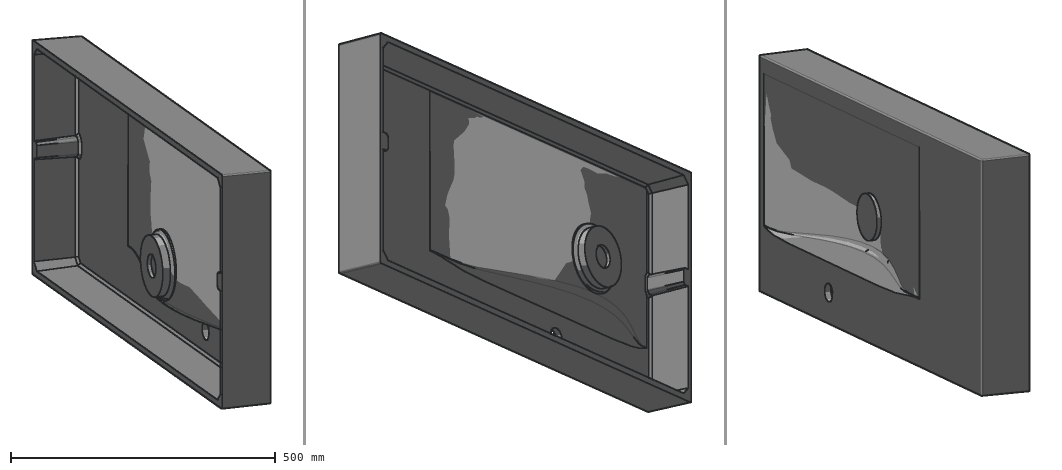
import cadquery as cq
import math

LENGTH = 1000.0
HEIGHT = 460.0
TRAY_DEPTH = 100.0
OUTER_DRAFT_ANGLE = 1.0
OUTER_EDGE_RADIUS = 3.0

DECK_THICKNESS = 13.0
SIDE_WALL = 9.5
TOP_BOTTOM_WALL = 12.0
CAVITY_CORNER_CHAMFER = 15.0
CAVITY_DRAFT_ANGLE = 2.0
CAVITY_FLOOR_CHAMFER = 5.0

RIB_HEIGHT = 34.0
RIB_REACH = 15.5
RIB_CENTRE_Z = 247.0
RIB_EDGE_CHAMFER = 5.0

DRAIN_X = 686.0
DRAIN_Z = 200.0
BOSS_RADIUS = 59.0
BOSS_FLARE_RADIUS = 68.0
BOSS_FLARE_Y = -101.0
BOSS_NECK_Y = -106.5
BOSS_END_Y = -122.0
DRAIN_HOLE_RADIUS = 22.5
DRAIN_HOLE_DEPTH = 8.0
COVER_RADIUS = 45.0
COVER_THICKNESS = 34.0

BOWL_LEFT = 279.0
BOWL_RIGHT = 976.0
BOWL_TOP = 438.0
BOWL_FOOT_Z = 108.0
BOWL_FOOT_RISE = 13.0
FOOT_RISE_POWER = 9
BOWL_DEPTH = 88.0
BOWL_WALL_LEAN = 12.0
BOWL_HEEL_RADIUS = 12.0
BOWL_SKIN = 12.0
LEFT_EASING = 0.95
RIGHT_EASING = 0.7
SHALLOWEST = 0.01
SECTIONS_PER_SIDE = 6
SLOPE_PLACE = 0.4
SLOPE_DEPTH = 0.8

OVERLAP = 3.0

TAP_HOLE_RADIUS = 17.5
TAP_HOLE_Z = 61.5


def rectangle_wire(left, right, bottom, top, y):
    corners = [(left, y, bottom), (right, y, bottom), (right, y, top), (left, y, top)]
    return cq.Wire.makePolygon([cq.Vector(*corner) for corner in corners], close=True)


def make_block():
    """Outer block: both ends and the top lean inwards to the deck, the bottom is square."""
    lean = TRAY_DEPTH * math.tan(math.radians(OUTER_DRAFT_ANGLE))
    rim = rectangle_wire(0, LENGTH, 0, HEIGHT, -TRAY_DEPTH)
    deck = rectangle_wire(lean, LENGTH - lean, 0, HEIGHT - lean, 0)
    block = cq.Workplane(cq.Solid.makeLoft([rim, deck], True))
    return block.edges("not <Y").fillet(OUTER_EDGE_RADIUS)


def make_cavity():
    """Drafted pocket with cut corners, notched on each short side to leave a rib."""
    half_width = LENGTH / 2 - SIDE_WALL
    low = TOP_BOTTOM_WALL
    high = HEIGHT - TOP_BOTTOM_WALL
    rib_low = RIB_CENTRE_Z - RIB_HEIGHT / 2
    rib_high = RIB_CENTRE_Z + RIB_HEIGHT / 2
    rib_tip = half_width - RIB_REACH
    right_side = [
        (half_width - CAVITY_CORNER_CHAMFER, low),
        (half_width, low + CAVITY_CORNER_CHAMFER),
        (half_width, rib_low),
        (rib_tip + RIB_EDGE_CHAMFER, rib_low),
        (rib_tip, rib_low + RIB_EDGE_CHAMFER),
        (rib_tip, rib_high - RIB_EDGE_CHAMFER),
        (rib_tip + RIB_EDGE_CHAMFER, rib_high),
        (half_width, rib_high),
        (half_width, high - CAVITY_CORNER_CHAMFER),
        (half_width - CAVITY_CORNER_CHAMFER, high),
    ]
    left_side = [(-x, z) for x, z in reversed(right_side)]
    return (
        cq.Workplane("XZ", origin=(LENGTH / 2, -TRAY_DEPTH, 0))
        .polyline(right_side + left_side)
        .close()
        .extrude(DECK_THICKNESS - TRAY_DEPTH, taper=CAVITY_DRAFT_ANGLE)
        .faces(">Y")
        .chamfer(CAVITY_FLOOR_CHAMFER)
    )


def bowl_fullness(x):
    """Share of the full bowl depth at x: almost nothing at both ends, one at the drain."""
    if x < DRAIN_X:
        run = ((x - BOWL_LEFT) / (DRAIN_X - BOWL_LEFT)) ** LEFT_EASING
    else:
        run = ((BOWL_RIGHT - x) / (BOWL_RIGHT - DRAIN_X)) ** RIGHT_EASING
    return max(SHALLOWEST, (1 - math.cos(math.pi * run)) / 2)


def bowl_section(x, base_y, deck_y, inset):
    """Closed outline at x: a long slope down from the top, a round heel and a steep front wall."""
    fullness = bowl_fullness(x)
    depth = BOWL_DEPTH * fullness
    heel_radius = BOWL_HEEL_RADIUS * fullness
    bottom_y = deck_y - depth
    top_z = BOWL_TOP - inset
    foot_z = BOWL_FOOT_Z + inset + BOWL_FOOT_RISE * (1 - fullness) ** FOOT_RISE_POWER
    wall_z = foot_z + BOWL_WALL_LEAN * math.sqrt(fullness)
    heel_z = wall_z + heel_radius
    slope_z = top_z + SLOPE_PLACE * (heel_z - top_z)
    arc_offset = heel_radius * (1 - math.sqrt(0.5))
    return (
        cq.Workplane("YZ", origin=(x, 0, 0))
        .moveTo(base_y, top_z)
        .lineTo(deck_y, top_z)
        .spline([(deck_y - SLOPE_DEPTH * depth, slope_z), (bottom_y, heel_z)], includeCurrent=True)
        .threePointArc((bottom_y + arc_offset, wall_z + arc_offset), (bottom_y + heel_radius, wall_z))
        .lineTo(deck_y, foot_z)
        .lineTo(base_y, foot_z)
        .close()
        .val()
    )


def make_bowl(base_y, deck_y, inset):
    steps = range(SECTIONS_PER_SIDE)
    left_pitch = (DRAIN_X - BOWL_LEFT) / SECTIONS_PER_SIDE
    right_pitch = (BOWL_RIGHT - DRAIN_X) / SECTIONS_PER_SIDE
    stations = [BOWL_LEFT + left_pitch * step for step in steps]
    stations += [DRAIN_X + right_pitch * step for step in steps]
    stations.append(BOWL_RIGHT)
    sections = [bowl_section(x, base_y, deck_y, inset) for x in stations]
    return cq.Workplane(cq.Solid.makeLoft(sections))


def drain_cylinder(radius, start_y, end_y):
    return (
        cq.Workplane("XZ", origin=(DRAIN_X, start_y, DRAIN_Z))
        .circle(radius)
        .extrude(start_y - end_y)
    )


def make_boss():
    """Round drain boss with a rounded flare where it leaves the bowl."""
    root_y = BOSS_FLARE_Y + BOWL_SKIN
    flare_width = BOSS_FLARE_RADIUS - BOSS_RADIUS
    flare_height = BOSS_FLARE_Y - BOSS_NECK_Y
    hollow = math.sqrt(0.5)
    flare_middle = (BOSS_FLARE_RADIUS - flare_width * hollow, BOSS_NECK_Y + flare_height * hollow)
    return (
        cq.Workplane("XY", origin=(DRAIN_X, 0, DRAIN_Z))
        .moveTo(0, root_y)
        .lineTo(BOSS_FLARE_RADIUS, root_y)
        .lineTo(BOSS_FLARE_RADIUS, BOSS_FLARE_Y)
        .threePointArc(flare_middle, (BOSS_RADIUS, BOSS_NECK_Y))
        .lineTo(BOSS_RADIUS, BOSS_END_Y)
        .lineTo(0, BOSS_END_Y)
        .close()
        .revolve(360, (0, 0, 0), (0, 1, 0))
    )


def make_tap_hole():
    return (
        cq.Workplane("XZ", origin=(DRAIN_X, 0, TAP_HOLE_Z))
        .circle(TAP_HOLE_RADIUS)
        .extrude(DECK_THICKNESS)
    )


bowl_outside = make_bowl(-DECK_THICKNESS + OVERLAP, -DECK_THICKNESS, 0)
bowl_inside = make_bowl(OVERLAP, 0, BOWL_SKIN)
cover_seat_y = BOSS_END_Y + DRAIN_HOLE_DEPTH
basin = (
    make_block()
    .cut(make_cavity())
    .union(bowl_outside)
    .union(make_boss())
    .cut(bowl_inside)
    .cut(make_tap_hole())
    .cut(drain_cylinder(COVER_RADIUS, 0, cover_seat_y))
    .cut(drain_cylinder(DRAIN_HOLE_RADIUS, cover_seat_y, BOSS_END_Y))
)

cover = drain_cylinder(COVER_RADIUS, cover_seat_y + COVER_THICKNESS, cover_seat_y)

result = cq.Compound.makeCompound([basin.val(), cover.val()])